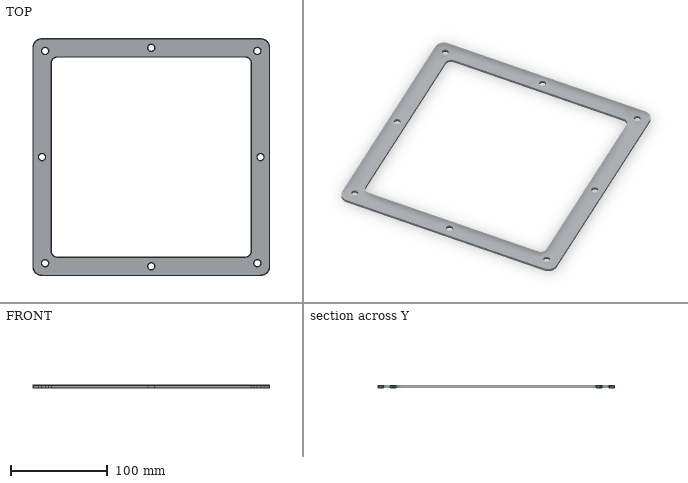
import cadquery as cq

outer_side = 244.475
thickness = 3.175
outer_corner_radius = 9.525

window_side = 206.375
window_corner_radius = 6.35

hole_diameter = 7.14
corner_hole_offset = 109.5375
middle_hole_offset = 112.7125


def rounded_square_plate(side, corner_radius):
    plate = cq.Workplane("XY").rect(side, side).extrude(thickness)
    return plate.edges("|Z").fillet(corner_radius)


def hole_centres():
    """Four holes near the corners and one midway along each side."""
    centres = []
    for sign in (1, -1):
        centres.append((sign * corner_hole_offset, corner_hole_offset))
        centres.append((sign * corner_hole_offset, -corner_hole_offset))
        centres.append((sign * middle_hole_offset, 0))
        centres.append((0, sign * middle_hole_offset))
    return centres


frame = rounded_square_plate(outer_side, outer_corner_radius)
window = rounded_square_plate(window_side, window_corner_radius)
holes = cq.Workplane("XY").pushPoints(hole_centres()).circle(hole_diameter / 2).extrude(thickness)

result = frame.cut(window).cut(holes)